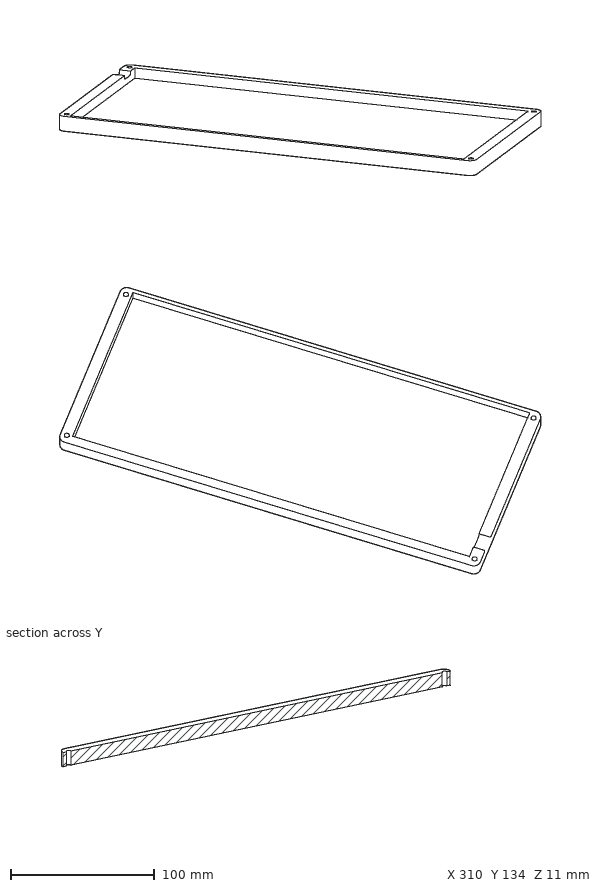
import cadquery as cq

length = 310.0
width = 134.0
height = 11.0
corner_radius = 5.0

end_wall = 8.7
front_wall = 2.8
back_wall = 6.5
pocket_depth = 7.5

hole_diameter = 3.5
hole_end_inset = 4.5
hole_side_inset = 6.0

notch_y = 46.5
notch_width = 11.5
notch_depth = 2.95
notch_radius = 2.0
mouth_fillet = 1.2


def make_tray():
    block = (
        cq.Workplane("XY")
        .box(length, width, height, centered=(True, True, False))
        .edges("|Z")
        .fillet(corner_radius)
    )
    pocket = (
        cq.Workplane("XY", origin=(0, (front_wall - back_wall) / 2, height - pocket_depth))
        .box(
            length - 2 * end_wall,
            width - front_wall - back_wall,
            pocket_depth,
            centered=(True, True, False),
        )
    )
    return block.cut(pocket)


def make_holes():
    spacing_x = length - 2 * hole_end_inset
    spacing_y = width - 2 * hole_side_inset
    return (
        cq.Workplane("XY")
        .rect(spacing_x, spacing_y, forConstruction=True)
        .vertices()
        .circle(hole_diameter / 2)
        .extrude(height)
    )


def make_notch():
    slot_height = 2 * notch_depth
    return (
        cq.Workplane("YZ", origin=(-length / 2, notch_y, height))
        .rect(notch_width, slot_height)
        .extrude(end_wall)
        .faces("<Z")
        .edges("|X")
        .fillet(notch_radius)
    )


def round_notch_mouth(tray):
    margin = 0.3
    mouth = cq.selectors.BoxSelector(
        (-length / 2 - margin, notch_y - notch_width / 2 - margin, height - notch_depth - margin),
        (-length / 2 + margin, notch_y + notch_width / 2 + margin, height - margin),
    )
    return tray.edges(mouth).fillet(mouth_fillet)


result = round_notch_mouth(make_tray().cut(make_holes()).cut(make_notch()))